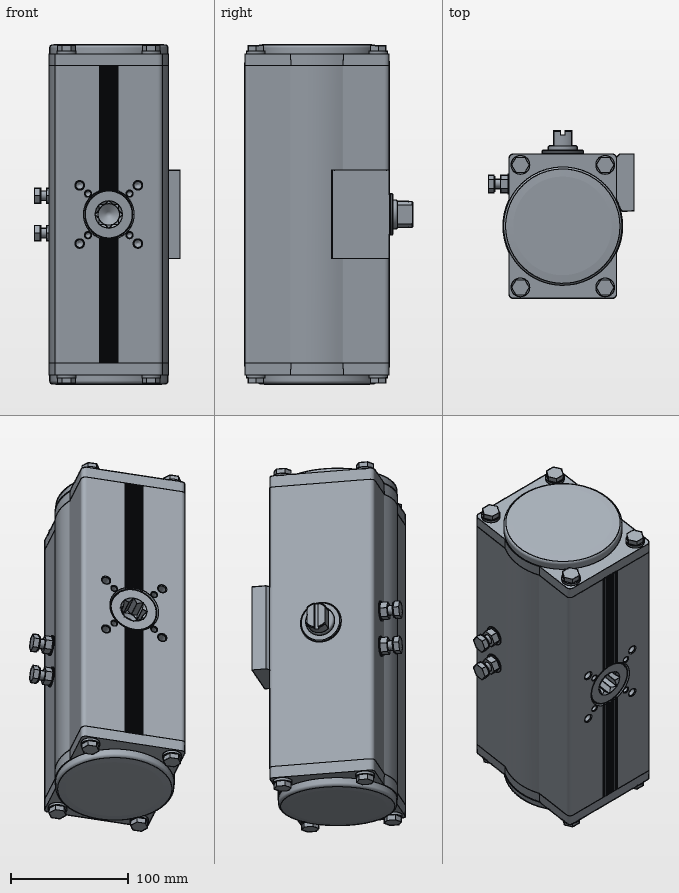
import cadquery as cq
import math


housing_width = 91.7
housing_depth = 123.0
corner_radius = 4.0
cylinder_radius = 51.0
bulge_blend_radius = 1.0

overall_length = 289.3
cap_plate_thickness = 10.0
dome_height = 8.0
half_length = overall_length / 2
plate_top = half_length - dome_height
housing_half_length = plate_top - cap_plate_thickness

dome_flat_radius = 42.0
dome_shoulder_radius = 48.5
dome_shoulder_drop = 0.5
dome_radius = 50.3
dome_rim_middle_radius = 49.8
dome_rim_middle_drop = 1.5
dome_rim_drop = 3.2
plate_draft = 1.0

bolt_spacing_x = 72.0
bolt_spacing_y = 104.1
bolt_flange_diameter = 16.0
bolt_flange_height = 2.3
bolt_head_height = 4.5
hex_across_flats = 13.0
hex_across_corners = hex_across_flats / math.cos(math.pi / 6)

ridge_count = 11
ridge_pitch = 1.5
groove_depth = 0.5

recess_diameter = 40.8
recess_chamfer = 1.2
recess_depth = 3.0
shaft_face_depth = 1.2
outer_hole_spacing = 49.5
inner_hole_spacing = 35.3
outer_hole_diameter = 6.7
outer_hole_mouth = 8.0
inner_hole_diameter = 5.0
inner_hole_mouth = 6.0
outer_hole_depth = 11.5
inner_hole_depth = 8.7
drill_point_angle = 118.0

journal_diameter = 40.0
journal_length = 29.0
collar_diameter = 25.0
collar_rise = 7.0
collar_fillet = 1.7
shaft_end_rise = 20.0
shaft_end_diameter = 22.5
shaft_end_flats = 15.5
shaft_tip_chamfer = 1.0
slot_width = 3.8
slot_depth = 3.8
socket_square = 16.8
socket_pilot_diameter = 18.2
socket_mouth_diameter = 23.0
socket_depth = 20.3

ring_diameter = 35.3
ring_thickness = 3.2
ring_chamfer = 1.0

screw_spacing = 31.8
screw_height = 36.0
washer_diameter = 17.0
washer_thickness = 1.0
nut_height = 6.0
screw_neck_diameter = 8.5
screw_neck_length = 4.5
screw_flange_diameter = 13.0
screw_flange_height = 1.0
screw_head_height = 5.0

block_width = 14.8
block_length = 75.2
block_bottom = 12.5
block_bottom_rise = 0.5
block_inner_chamfer = 2.5
block_lower_corner_x = 51.0
block_lower_chamfer_height = 5.8

top_face = housing_depth / 2
bottom_face = -housing_depth / 2
side_face = housing_width / 2
recess_floor = bottom_face + recess_depth
shaft_face = bottom_face + shaft_face_depth


def rod_y(diameter, start, end):
    """Round bar on the Y axis."""
    return cq.Workplane("XZ", origin=(0, start, 0)).circle(diameter / 2).extrude(start - end)


def drill_point(diameter):
    """Height of the conical end of a drilled hole."""
    return diameter / 2 / math.tan(math.radians(drill_point_angle / 2))


def drilled_hole(diameter, mouth, depth):
    """Cutter for a blind hole along +Y from the origin, with a countersunk mouth and a conical end."""
    radius = diameter / 2
    sink = (mouth - diameter) / 2
    profile = [
        (0, 0),
        (mouth / 2, 0),
        (radius, sink),
        (radius, depth),
        (0, depth + drill_point(diameter)),
    ]
    return cq.Workplane("XY").polyline(profile).close().revolve(360, (0, 0, 0), (0, 1, 0))


def cut_hole_square(body, cutter, spacing):
    """Cut four holes at the corners of a square on the bottom face."""
    for x in (-spacing / 2, spacing / 2):
        for z in (-spacing / 2, spacing / 2):
            body = body.cut(cutter.translate((x, bottom_face, z)))
    return body


def ridge_grooves():
    """V grooves side by side along the housing, cut into the bottom face."""
    strip_width = ridge_count * ridge_pitch
    outline = cq.Workplane("XY", origin=(0, 0, -housing_half_length)).moveTo(-strip_width / 2, bottom_face)
    for i in range(ridge_count):
        left = -strip_width / 2 + i * ridge_pitch
        outline = outline.lineTo(left + ridge_pitch / 2, bottom_face + groove_depth)
        outline = outline.lineTo(left + ridge_pitch, bottom_face)
    outline = outline.lineTo(strip_width / 2, bottom_face - groove_depth)
    outline = outline.lineTo(-strip_width / 2, bottom_face - groove_depth)
    return outline.close().extrude(2 * housing_half_length)


def make_housing():
    length = 2 * housing_half_length
    box = cq.Workplane("XY").box(housing_width, housing_depth, length).edges("|Z").fillet(corner_radius)
    barrel = cq.Workplane("XY", origin=(0, 0, -housing_half_length)).circle(cylinder_radius).extrude(length)
    body = box.union(barrel)
    seam_y = math.sqrt(cylinder_radius**2 - side_face**2)
    for x in (-side_face, side_face):
        for y in (-seam_y, seam_y):
            seam = cq.selectors.NearestToPointSelector((x, y, 0))
            body = body.edges("|Z").edges(seam).fillet(bulge_blend_radius)

    body = body.cut(ridge_grooves())
    recess = rod_y(recess_diameter, bottom_face, recess_floor)
    mouth = cq.Solid.makeCone(
        recess_diameter / 2 + recess_chamfer,
        recess_diameter / 2,
        recess_chamfer,
        pnt=cq.Vector(0, bottom_face, 0),
        dir=cq.Vector(0, 1, 0),
    )
    body = body.cut(recess).cut(cq.Workplane(mouth))
    body = body.cut(rod_y(journal_diameter, recess_floor, recess_floor + journal_length))
    body = body.cut(rod_y(collar_diameter, recess_floor, top_face))
    outer_hole = drilled_hole(outer_hole_diameter, outer_hole_mouth, outer_hole_depth)
    inner_hole = drilled_hole(inner_hole_diameter, inner_hole_mouth, inner_hole_depth)
    body = cut_hole_square(body, outer_hole, outer_hole_spacing)
    return cut_hole_square(body, inner_hole, inner_hole_spacing)


def cap_bolt_heads():
    """Four bolt heads standing on the plate of the upper cap."""
    seats = cq.Workplane("XY", origin=(0, 0, plate_top)).rect(bolt_spacing_x, bolt_spacing_y, forConstruction=True)
    flanges = seats.vertices().circle(bolt_flange_diameter / 2).extrude(bolt_flange_height)
    heads = (
        cq.Workplane("XY", origin=(0, 0, plate_top + bolt_flange_height))
        .rect(bolt_spacing_x, bolt_spacing_y, forConstruction=True)
        .vertices()
        .polygon(6, hex_across_corners)
        .extrude(bolt_head_height)
    )
    return flanges.union(heads)


def make_upper_cap():
    """Drafted plate and bulge, cover with a rounded rim, and the four bolt heads."""
    plate = (
        cq.Workplane("XY", origin=(0, 0, housing_half_length))
        .sketch()
        .rect(housing_width, housing_depth)
        .vertices()
        .fillet(corner_radius)
        .finalize()
        .extrude(cap_plate_thickness, taper=plate_draft)
    )
    shoulder_height = half_length - dome_shoulder_drop
    rim_middle_height = half_length - dome_rim_middle_drop
    rim_height = half_length - dome_rim_drop
    cover = (
        cq.Workplane("XZ")
        .moveTo(0, half_length)
        .lineTo(dome_flat_radius, half_length)
        .lineTo(dome_shoulder_radius, shoulder_height)
        .threePointArc((dome_rim_middle_radius, rim_middle_height), (dome_radius, rim_height))
        .lineTo(dome_radius, housing_half_length)
        .lineTo(0, housing_half_length)
        .close()
        .revolve(360, (0, 0, 0), (0, 1, 0))
    )
    bulge = (
        cq.Workplane("XY", origin=(0, 0, housing_half_length))
        .circle(cylinder_radius)
        .extrude(cap_plate_thickness)
    )
    return plate.union(bulge).union(cover).union(cap_bolt_heads())


def make_shaft():
    journal = rod_y(journal_diameter, shaft_face, recess_floor + journal_length)
    collar_top = top_face + collar_rise
    collar = rod_y(collar_diameter, recess_floor, collar_top).faces(">Y").edges().fillet(collar_fillet)

    tip = top_face + shaft_end_rise
    flats = cq.Workplane("XY").box(shaft_end_flats, 2 * tip, shaft_end_diameter)
    end = rod_y(shaft_end_diameter, top_face, tip).faces(">Y").chamfer(shaft_tip_chamfer).intersect(flats)
    slot = cq.Workplane("XY", origin=(0, tip - slot_depth / 2, 0)).box(slot_width, slot_depth, shaft_end_diameter)

    shaft = journal.union(collar).union(end.cut(slot))
    return shaft.cut(star_socket())


def star_socket():
    """Cutter for the eight-pointed socket with a countersunk mouth and a conical end."""
    face = cq.Workplane("XZ", origin=(0, shaft_face, 0))
    upright = face.rect(socket_square, socket_square).extrude(-socket_depth)
    turned = upright.rotate((0, 0, 0), (0, 1, 0), 45)
    pilot = drilled_hole(socket_pilot_diameter, socket_mouth_diameter, socket_depth)
    return upright.union(turned).union(pilot.translate((0, shaft_face, 0)))


def make_indicator_ring():
    ring = rod_y(ring_diameter, top_face, top_face + ring_thickness)
    ring = ring.faces("<Y or >Y").chamfer(ring_chamfer)
    return ring.cut(rod_y(collar_diameter, top_face, top_face + ring_thickness))


def make_stop_screw(z):
    """Stop screw with its washer and lock nut, built outwards from the -X side."""
    washer = cq.Workplane("YZ", origin=(-side_face, screw_height, z)).circle(washer_diameter / 2)
    screw = washer.extrude(-washer_thickness)
    screw = screw.faces("<X").workplane().polygon(6, hex_across_corners).extrude(nut_height)
    screw = screw.faces("<X").workplane().circle(screw_neck_diameter / 2).extrude(screw_neck_length)
    screw = screw.faces("<X").workplane().circle(screw_flange_diameter / 2).extrude(screw_flange_height)
    return screw.faces("<X").workplane().polygon(6, hex_across_corners).extrude(screw_head_height)


def make_side_block():
    """Block on the +X side; the housing is later cut from it so that its inner face fits the cylinder."""
    outer = side_face + block_width
    return (
        cq.Workplane("XY", origin=(0, 0, -block_length / 2))
        .moveTo(side_face + block_inner_chamfer, top_face)
        .lineTo(outer, top_face)
        .lineTo(outer, block_bottom + block_bottom_rise)
        .lineTo(block_lower_corner_x, block_bottom)
        .lineTo(side_face, block_bottom + block_lower_chamfer_height)
        .lineTo(side_face, top_face - block_inner_chamfer)
        .close()
        .extrude(block_length)
    )


housing = make_housing()
upper_cap = make_upper_cap()
lower_cap = upper_cap.mirror("XY")
shaft = make_shaft()
indicator_ring = make_indicator_ring()
stop_screws = [make_stop_screw(z) for z in (-screw_spacing / 2, screw_spacing / 2)]
side_block = make_side_block().cut(housing)

result = cq.Compound.makeCompound(
    [
        housing.val(),
        upper_cap.val(),
        lower_cap.val(),
        shaft.val(),
        indicator_ring.val(),
        *[screw.val() for screw in stop_screws],
        side_block.val(),
    ]
)